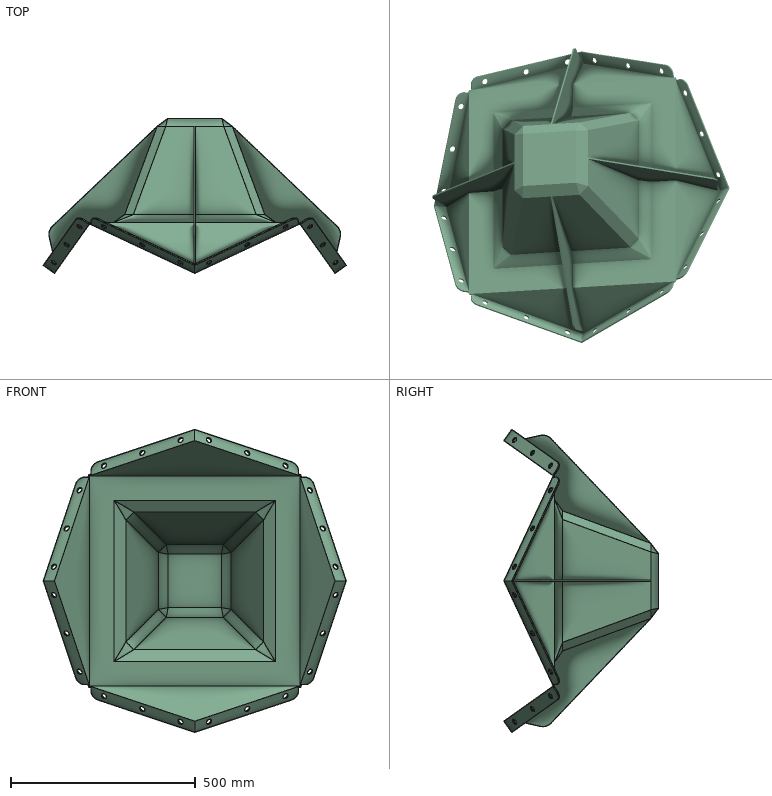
import cadquery as cq
import math


sheet = 4.0
same_point = 8.19e-06

plate_half = 284.0
wing_rise = 133.5
flange_reach = 409.5
apex_x = 379.0

back_y = 285.0
mouth = (218.0, 0.0, 0.0)
shoulder = (186.0, 23.0, 21.0)
heel = (98.0, 261.0, 21.0)
floor = (72.0, back_y - sheet, 0.0)
tray_rings = [mouth, shoulder, heel, floor]

flange_gap = 4.0
flange_radius = 22.0
hole_diameter = 15.5
hole_pitch = 119.5
hole_offset = 18.0
hole_count = 3

rib_corner = (397.0, -18.0)
rib_radius = 30.0
rib_end_tilt = 12.6

wing_run = apex_x - plate_half
wing_slope = math.hypot(wing_run, wing_rise)
normal_x = wing_rise / wing_slope
normal_y = wing_run / wing_slope
wing_normal = cq.Vector(normal_x, normal_y, 0)
fold_angle = math.atan2(wing_rise, wing_run)
plate_back_half = plate_half + sheet * math.tan(fold_angle / 2)
flange_width = (flange_reach - apex_x) / normal_x

corner = cq.Vector(plate_half, 0, plate_half)
apex = cq.Vector(apex_x, -wing_rise, 0)


def polyhedron(faces):
    """Solid bounded by flat faces; repeated neighbouring points are dropped."""
    built = []
    for face in faces:
        points = [p for i, p in enumerate(face) if (p - face[i - 1]).Length > same_point]
        if len(points) > 2:
            built.append(cq.Face.makeFromWires(cq.Wire.makePolygon(points, close=True)))
    return cq.Workplane(cq.Solid.makeSolid(cq.Shell.makeShell(built)))


def ring(half, y, cut):
    """Square of the given half width at height y, with its corners cut off."""
    short = half - cut
    plan = [
        (half, -short), (half, short), (short, half), (-short, half),
        (-half, short), (-half, -short), (-short, -half), (short, -half),
    ]
    return [cq.Vector(x, y, z) for x, z in plan]


def stacked_rings(rings):
    """Solid whose flat sides join each ring to the next."""
    loops = [ring(*size) for size in rings]
    faces = [loops[0], loops[-1]]
    for low, high in zip(loops, loops[1:]):
        for i in range(len(low)):
            faces.append([low[i - 1], low[i], high[i], high[i - 1]])
    return polyhedron(faces)


def offset_rings(rings):
    """Rings of the outer tray surface, one sheet thickness outside the inner one."""
    flat = (0, 1)
    normals = [flat]
    for (half_a, y_a, _), (half_b, y_b, _) in zip(rings, rings[1:]):
        length = math.hypot(half_b - half_a, y_b - y_a)
        normals.append(((y_b - y_a) / length, (half_a - half_b) / length))
    normals.append(flat)

    outer = []
    for (half, y, cut), before, after in zip(rings, normals, normals[1:]):
        scale = sheet / (1 + before[0] * after[0] + before[1] * after[1])
        grow = scale * (before[0] + after[0])
        rise = scale * (before[1] + after[1])
        outer_cut = cut + (2 - math.sqrt(2)) * grow if cut else 0
        outer.append((half + grow, y + rise, outer_cut))
    return outer


def make_plate():
    return stacked_rings([(plate_half, 0, 0), (plate_back_half, sheet, 0)])


def make_wing():
    """Triangular wing on the +X side, mitred to the plate along the fold."""
    overrun = (1 - normal_y) * sheet / wing_rise
    back_z = plate_half * (1 + overrun)
    front = [corner, apex, cq.Vector(plate_half, 0, -plate_half)]
    back = [
        cq.Vector(plate_back_half, sheet, back_z),
        apex + wing_normal * sheet,
        cq.Vector(plate_back_half, sheet, -back_z),
    ]
    sides = [[front[i - 1], front[i], back[i], back[i - 1]] for i in range(len(front))]
    return polyhedron([front, back] + sides)


def make_flange():
    """Flange on the +Z edge of the +X wing, folded square to it, with its holes."""
    along = corner - apex
    plane = cq.Plane(origin=apex, xDir=along, normal=along.cross(wing_normal))
    end = along.Length - flange_gap
    blank = (
        cq.Workplane(plane)
        .polyline([(0, 0), (end, 0), (end, flange_width), (0, flange_width)])
        .close()
        .extrude(sheet)
    )
    free_corner = plane.toWorldCoords((end, flange_width, sheet / 2)).toTuple()
    blank = blank.edges(cq.selectors.NearestToPointSelector(free_corner)).fillet(flange_radius)

    first_hole = (along.Length - (hole_count - 1) * hole_pitch) / 2
    holes = [(first_hole + i * hole_pitch, hole_offset) for i in range(hole_count)]
    drill = cq.Workplane(plane).pushPoints(holes).circle(hole_diameter / 2).extrude(sheet)
    return blank.cut(drill)


def make_rib(outer_rings):
    """Flat rib in the plane Z = 0 joining the +X tray wall, plate and wing."""
    outer_mouth, outer_shoulder, outer_heel = [(half, y) for half, y, _ in outer_rings[:3]]
    plate_edge = (plate_back_half, sheet)
    lean = math.tan(math.radians(rib_end_tilt))
    gap = rib_corner[0] - plate_edge[0] - lean * (rib_corner[1] - plate_edge[1])
    splay = wing_run / wing_rise
    drop = gap / (splay + lean)
    foot = (plate_edge[0] + drop * splay, plate_edge[1] - drop)
    outline = [outer_heel, outer_shoulder, outer_mouth, plate_edge, foot, rib_corner]
    rib = cq.Workplane("XY").polyline(outline).close().extrude(sheet / 2, both=True)
    corner_edge = cq.selectors.NearestToPointSelector((*rib_corner, 0))
    return rib.edges(corner_edge).fillet(rib_radius)


outer_rings = offset_rings(tray_rings)
flange = make_flange()
side = make_wing().union(flange).union(flange.mirror("XY")).union(make_rib(outer_rings))

result = make_plate().union(stacked_rings(outer_rings))
for quarter in range(4):
    result = result.union(side.rotate((0, 0, 0), (0, 1, 0), 90 * quarter))
result = result.cut(stacked_rings(tray_rings)).solids()